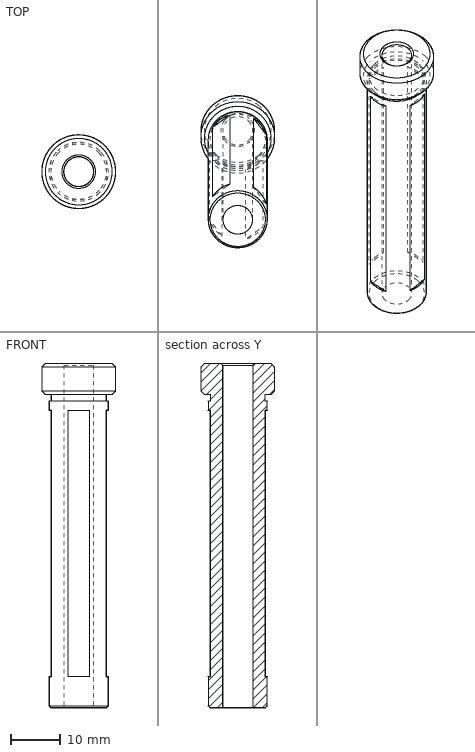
import cadquery as cq

head_diameter = 15.0
head_height = 6.35
head_chamfer = 0.75

shank_diameter = 12.0
shank_length = 63.5
tip_chamfer = 0.4

groove_diameter = 11.2
groove_width = 1.27

flat_count = 4
flat_across = 11.2
flat_top_offset = 3.175
flat_bottom_offset = 6.35

bore_diameter = 6.0
bore_chamfer = 0.4

tip_z = -shank_length
flat_top_z = -flat_top_offset
flat_bottom_z = tip_z + flat_bottom_offset


def make_head():
    """Round head, chamfered on both rims."""
    head = cq.Workplane("XY").circle(head_diameter / 2).extrude(head_height)
    return head.edges("%CIRCLE").chamfer(head_chamfer)


def make_shank():
    """Round shank with a chamfered tip and a relief groove under the head."""
    shank = cq.Workplane("XY").circle(shank_diameter / 2).extrude(tip_z)
    shank = shank.faces("<Z").edges().chamfer(tip_chamfer)
    groove = (
        cq.Workplane("XY")
        .circle(shank_diameter / 2)
        .circle(groove_diameter / 2)
        .extrude(-groove_width)
    )
    return shank.cut(groove)


def make_flat_cutter(angle):
    """Block whose inner face cuts one flat on the shank, turned about Z by angle."""
    block = cq.Workplane("XY", origin=(flat_across / 2, 0, flat_bottom_z)).box(
        shank_diameter,
        shank_diameter,
        flat_top_z - flat_bottom_z,
        centered=(False, True, False),
    )
    return block.rotate((0, 0, 0), (0, 0, 1), angle)


def make_bore_cutter():
    """Through bore with a chamfered mouth in the top of the head."""
    bore = (
        cq.Workplane("XY", origin=(0, 0, tip_z))
        .circle(bore_diameter / 2)
        .extrude(shank_length + head_height)
    )
    mouth_radius = bore_diameter / 2 + bore_chamfer
    mouth = cq.Workplane(
        cq.Solid.makeCone(
            bore_diameter / 2,
            mouth_radius,
            bore_chamfer,
            pnt=cq.Vector(0, 0, head_height - bore_chamfer),
        )
    )
    return bore.union(mouth)


body = make_shank().union(make_head())
for index in range(flat_count):
    body = body.cut(make_flat_cutter(index * 360 / flat_count))

result = body.cut(make_bore_cutter())